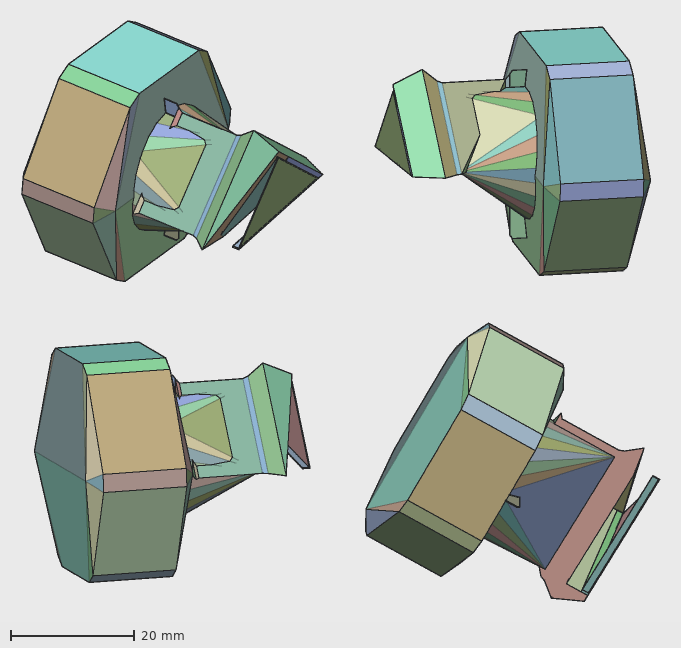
import cadquery as cq
import math


head_width = 39.95
head_turn = -6.8
corner_half_angle = 4.3
head_radius = head_width / 2 / math.cos(math.radians(head_turn + corner_half_angle))
roof_height = 2.08
end_roof_height = 1.95
prism_length = 14.0
ridge_half_length = 16.5
prism_start = roof_height
prism_end = prism_start + prism_length
head_length = prism_end + end_roof_height

core_radius = 11.2
core_segments = 24

sleeve_start = 19.38
start_lip_reach = 13.4
sleeve_body_x = 20.05
sleeve_reach = 12.6
sleeve_end = 30.72
barb_foot_x = 31.6
barb_foot_reach = 12.95
barb_peak_x = 34.08
barb_peak_reach = 15.0
tip_x = 39.0
tip_reach = 12.75
window_depth = 2.8

hollow_start = 34.95
plug_start = 37.7
plug_reach = 11.6
plug_wall = 0.15

fin_reach = 14.0
fin_thickness = 0.15
fin_chamfer_x = 18.95
fin_chamfer_reach = start_lip_reach


def polyhedron(faces):
    """Solid enclosed by flat faces, each given as its corner points."""
    shell = cq.Shell.makeShell(
        [cq.Face.makeFromWires(cq.Wire.makePolygon([cq.Vector(*p) for p in face], close=True)) for face in faces]
    )
    return cq.Workplane(obj=cq.Solid.makeSolid(shell).fix())


def polar(x, radius, degrees):
    """Point at the given angle from +Y towards +Z."""
    angle = math.radians(degrees)
    return (x, radius * math.cos(angle), radius * math.sin(angle))


def wedge_section(x, reach):
    """Corners of the half diamond with its flat side on z = 0."""
    return [(x, -reach, 0), (x, reach, 0), (x, 0, reach)]


def wedge_frustum(x0, reach0, x1, reach1):
    """Half-diamond bar whose reach changes evenly between two stations."""
    first = wedge_section(x0, reach0)
    last = wedge_section(x1, reach1)
    sides = [[first[i - 1], first[i], last[i], last[i - 1]] for i in range(3)]
    return polyhedron([first, last] + sides)


def make_head():
    corner_angles = [
        head_turn + 60 * k + offset for k in range(-1, 5) for offset in (-corner_half_angle, corner_half_angle)
    ]
    count = len(corner_angles)
    half = count // 2
    faces = []
    rings = []
    for prism_x, ridge_x in ((prism_start, 0), (prism_end, head_length)):
        ring = [polar(prism_x, head_radius, angle) for angle in corner_angles]
        ridge = [polar(ridge_x, ridge_half_length, head_turn + turn) for turn in (0, 180)]
        for side in range(2):
            first = side * half
            for i in range(first, first + half - 1):
                faces.append([ridge[side], ring[i], ring[i + 1]])
            last = first + half - 1
            faces.append([ridge[side], ring[last], ring[(last + 1) % count], ridge[1 - side]])
        rings.append(ring)
    for i in range(count):
        faces.append([rings[0][i - 1], rings[0][i], rings[1][i], rings[1][i - 1]])
    return polyhedron(faces)


def make_core():
    left, right, top = wedge_section(sleeve_end, core_radius)
    step = 360 // core_segments
    base = [polar(prism_end, core_radius, angle) for angle in range(0, 360, step)]
    faces = [base, [left, right, top]]
    for corner, start, end in ((top, 45, 135), (left, 135, 270), (right, 270, 405)):
        for angle in range(start, end, step):
            i = angle // step
            faces.append([corner, base[i % core_segments], base[(i + 1) % core_segments]])
    for a, b, angle in ((right, top, 45), (top, left, 135), (left, right, 270)):
        faces.append([a, b, base[angle // step]])
    return polyhedron(faces)


def sleeve_relief():
    """Wedge that clears the +Y side of the sleeve ahead of a slanting edge."""
    return (
        cq.Workplane("XY")
        .moveTo(sleeve_body_x, 0)
        .lineTo(sleeve_end, sleeve_reach)
        .lineTo(sleeve_end, fin_reach)
        .lineTo(sleeve_start, fin_reach)
        .lineTo(sleeve_start, 0)
        .close()
        .extrude(fin_reach)
    )


def tip_window():
    """Triangular opening through the -Y wall of the tip."""
    outer = [(tip_x, 0, tip_reach), (barb_peak_x, -barb_peak_reach, 0), (tip_x, -barb_peak_reach, 0)]
    face = cq.Face.makeFromWires(cq.Wire.makePolygon([cq.Vector(*p) for p in outer], close=True))
    outset = cq.Vector(0, -window_depth, window_depth)
    return cq.Workplane(obj=cq.Solid.extrudeLinear(face.moved(cq.Location(outset)), outset * -2))


def make_plug():
    """Floor, end wall and +Y wall of a half-diamond bar, open towards -X and -Y."""
    block = wedge_frustum(plug_start, plug_reach, tip_x, plug_reach)
    pocket = wedge_frustum(plug_start, plug_reach, tip_x - plug_wall, plug_reach)
    side_shift = plug_wall * (1 + math.sqrt(2))
    return block.cut(pocket.translate((0, -side_shift, plug_wall)))


def make_catch(core):
    profile = [
        (sleeve_start, start_lip_reach),
        (sleeve_body_x, sleeve_reach),
        (sleeve_end, sleeve_reach),
        (barb_foot_x, barb_foot_reach),
        (barb_peak_x, barb_peak_reach),
        (tip_x, tip_reach),
    ]
    parts = [wedge_frustum(*start, *end) for start, end in zip(profile[:-1], profile[1:])]
    catch = parts[0]
    for part in parts[1:]:
        catch = catch.union(part)
    hollow = wedge_frustum(hollow_start, plug_reach, tip_x, plug_reach)
    return catch.cut(core).cut(sleeve_relief()).cut(hollow).cut(tip_window())


def make_fin(side, head, core):
    """Thin plate against the core, above (side = 1) or below (side = -1)."""
    blank = (
        cq.Workplane("XZ")
        .moveTo(prism_end, 0)
        .lineTo(prism_end, side * fin_reach)
        .lineTo(fin_chamfer_x, side * fin_reach)
        .lineTo(sleeve_start, side * fin_chamfer_reach)
        .lineTo(sleeve_start, 0)
        .close()
        .extrude(fin_thickness / 2, both=True)
    )
    return blank.cut(head).cut(core)


core = make_core()
head = make_head().cut(core)
catch = make_catch(core)
plug = make_plug()
fins = [make_fin(side, head, core) for side in (1, -1)]

result = cq.Compound.makeCompound([head.val(), core.val(), catch.val(), plug.val(), *[fin.val() for fin in fins]])